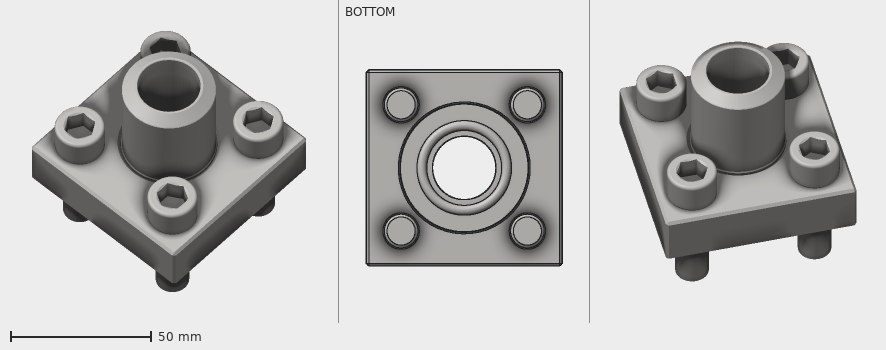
import cadquery as cq
import math


plate_side = 70.0
plate_thickness = 19.0
plate_edge_chamfer = 1.0
plate_bore_diameter = 34.5
plate_bore_chamfer = 1.1
recess_diameter = 47.0
recess_depth = 9.0

neck_top = 54.0
neck_diameter = 33.7
neck_bore_diameter = 22.5
neck_lip_width = 1.0
neck_bevel_height = 2.55
neck_edge_break = 0.2
hub_diameter = 34.4
hub_top = 18.9
collar_diameter = 46.0
collar_protrusion = 1.9

groove_outer_diameter = 33.75
ring_section_diameter = 3.5
ring_protrusion = 0.8
groove_inner_diameter = groove_outer_diameter - 2 * ring_section_diameter
ring_center_radius = (groove_outer_diameter - ring_section_diameter) / 2
groove_depth = ring_section_diameter - ring_protrusion

screw_spacing = 45.0
screw_diameter = 12.0
screw_hole_diameter = 13.0
screw_tip = -21.0
screw_tip_chamfer = 1.0
head_diameter = 18.0
head_height = 12.0
head_fillet = 1.2
socket_corner_diameter = 11.55
socket_depth = 8.0
socket_lead_in_angle = 30.0


def make_plate():
    """Square flange plate with a stepped bore and four screw holes."""
    plate = cq.Workplane("XY").box(
        plate_side, plate_side, plate_thickness, centered=(True, True, False)
    )
    plate = plate.edges().chamfer(plate_edge_chamfer)
    plate = plate.faces(">Z").workplane().hole(plate_bore_diameter)
    plate = plate.faces(">Z").edges("%CIRCLE").chamfer(plate_bore_chamfer)
    recess = cq.Workplane("XY").circle(recess_diameter / 2).extrude(recess_depth)
    screw_holes = (
        cq.Workplane("XY")
        .rect(screw_spacing, screw_spacing, forConstruction=True)
        .vertices()
        .circle(screw_hole_diameter / 2)
        .extrude(plate_thickness)
    )
    return plate.cut(recess).cut(screw_holes)


def make_neck():
    """Pipe stub with a weld bevel on top and a grooved collar at the bottom."""
    bore_radius = neck_bore_diameter / 2
    neck_radius = neck_diameter / 2
    collar_radius = collar_diameter / 2
    lip_radius = bore_radius + neck_lip_width
    hub_radius = hub_diameter / 2
    bevel_bottom = neck_top - neck_bevel_height
    profile = [
        (bore_radius, -collar_protrusion),
        (collar_radius - neck_edge_break, -collar_protrusion),
        (collar_radius, -collar_protrusion + neck_edge_break),
        (collar_radius, recess_depth),
        (hub_radius, recess_depth),
        (hub_radius, hub_top),
        (neck_radius, hub_top + hub_radius - neck_radius),
        (neck_radius, bevel_bottom - neck_edge_break),
        (neck_radius - neck_edge_break, bevel_bottom),
        (lip_radius, neck_top),
        (bore_radius + neck_edge_break, neck_top),
        (bore_radius, neck_top - neck_edge_break),
    ]
    neck = cq.Workplane("XZ").polyline(profile).close().revolve(360, (0, 0), (0, 1))
    groove = (
        cq.Workplane("XY")
        .workplane(offset=-collar_protrusion)
        .circle(groove_outer_diameter / 2)
        .circle(groove_inner_diameter / 2)
        .extrude(groove_depth)
    )
    return neck.cut(groove)


def make_o_ring():
    """Round-section seal that stands out below the collar face."""
    center_height = -collar_protrusion + groove_depth - ring_section_diameter / 2
    return (
        cq.Workplane("XZ")
        .center(ring_center_radius, center_height)
        .circle(ring_section_diameter / 2)
        .revolve(360, (-ring_center_radius, 0), (-ring_center_radius, 1))
    )


def make_socket():
    """Hexagonal socket volume with a conical lead-in across its corners."""
    head_top = plate_thickness + head_height
    corner_radius = socket_corner_diameter / 2
    hexagon = (
        cq.Workplane("XY")
        .workplane(offset=head_top - socket_depth)
        .polygon(6, socket_corner_diameter)
        .extrude(socket_depth)
    )
    lead_in_depth = corner_radius * math.tan(math.radians(socket_lead_in_angle))
    lead_in = (
        cq.Workplane("XZ")
        .polyline([(0, head_top), (corner_radius, head_top), (0, head_top - lead_in_depth)])
        .close()
        .revolve(360, (0, 0), (0, 1))
    )
    return hexagon.union(lead_in)


def make_screw():
    """Socket head screw on the Z axis, its head resting on the plate."""
    head = (
        cq.Workplane("XY")
        .workplane(offset=plate_thickness)
        .circle(head_diameter / 2)
        .extrude(head_height)
    )
    head = head.faces(">Z").edges().fillet(head_fillet)
    head = head.faces("<Z").edges().fillet(head_fillet)
    shank_length = plate_thickness - screw_tip
    shank = (
        cq.Workplane("XY")
        .workplane(offset=screw_tip)
        .circle(screw_diameter / 2)
        .extrude(shank_length)
    )
    shank = shank.faces("<Z").edges().chamfer(screw_tip_chamfer)
    return head.union(shank).cut(make_socket())


def make_screws():
    """Four screws in a ring, each turned a quarter turn from the one before."""
    first_screw = make_screw().translate((screw_spacing / 2, screw_spacing / 2, 0))
    screws = []
    for quarter_turn in range(4):
        screws.append(first_screw.rotate((0, 0, 0), (0, 0, 1), 90 * quarter_turn))
    return screws


plate = make_plate()
neck = make_neck()
o_ring = make_o_ring()
screws = make_screws()

result = cq.Compound.makeCompound(
    [plate.val(), neck.val(), o_ring.val(), *[screw.val() for screw in screws]]
)